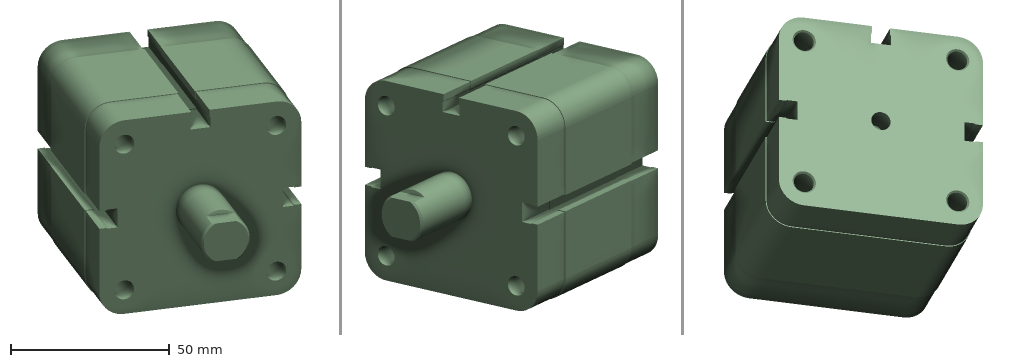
import cadquery as cq
import math

TOTAL_LENGTH = 93.5
BODY_LENGTH = 66.0
REAR_CAP_LENGTH = 15.0
FRONT_CAP_LENGTH = 14.8
TUBE_SIDE = 67.0
CAP_SIDE = 66.5
TUBE_CORNER_RADIUS = 8.4

TUBE_SLOT_MOUTH = 5.4
SLOT_CHAMBER_WIDTH = 6.5
SLOT_LIP = 2.6
SLOT_DEPTH = 6.0
SLOT_ANGLES = (-90, 0, 90)

BOLT_PITCH = 50.0
BOLT_HOLE_DIAMETER = 6.45
BOLT_HOLE_CHAMFER = 0.6
PORT_DIAMETER = 6.3
PORT_DEPTH = 9.35

ROD_DIAMETER = 16.0
ROD_TIP_CHAMFER = 0.7
ACROSS_FLATS = 13.0
FLAT_LENGTH = 6.2
SHOULDER_TILT = 15.0

CAP_INSET = (TUBE_SIDE - CAP_SIDE) / 2

TUBE_START = REAR_CAP_LENGTH
TUBE_END = BODY_LENGTH - FRONT_CAP_LENGTH
TUBE_LENGTH = TUBE_END - TUBE_START


def section_plane(x):
    """Plane across the body axis, with local x = +Y and local y = +Z."""
    return cq.Workplane("YZ", origin=(x, 0, 0))


def slot_cutter(x, length, inset):
    """T-slot cutter in the top face; its mouth widens to the chamber at 45 degrees."""
    face = TUBE_SIDE / 2
    floor = face - SLOT_DEPTH - inset
    lip = face - SLOT_LIP
    chamber = SLOT_CHAMBER_WIDTH / 2
    neck = TUBE_SLOT_MOUTH / 2 + inset
    right_side = [
        (chamber, floor),
        (chamber, lip - (chamber - neck)),
        (neck, lip),
        (neck, face),
    ]
    left_side = [(-y, z) for y, z in reversed(right_side)]
    return section_plane(x).polyline(right_side + left_side).close().extrude(length)


def slotted_block(x, length, inset=0):
    """Rounded square block, set in from the tube outline, with T-slots and through bolt holes."""
    side = TUBE_SIDE - 2 * inset
    corner_radius = TUBE_CORNER_RADIUS - inset
    block = section_plane(x).rect(side, side).extrude(length).edges("|X").fillet(corner_radius)
    cutter = slot_cutter(x, length, inset)
    for angle in SLOT_ANGLES:
        block = block.cut(cutter.rotate((0, 0, 0), (1, 0, 0), angle))
    bolt_holes = (
        section_plane(x)
        .rect(BOLT_PITCH, BOLT_PITCH, forConstruction=True)
        .vertices()
        .circle(BOLT_HOLE_DIAMETER / 2)
        .extrude(length)
    )
    return block.cut(bolt_holes)


def make_rear_cap():
    """End cap with chamfered bolt holes and a blind central port."""
    cap = slotted_block(0, REAR_CAP_LENGTH, CAP_INSET)
    bolt_hole_rims = cap.faces("<X").edges("%CIRCLE").edges(cq.selectors.RadiusNthSelector(0))
    cap = bolt_hole_rims.chamfer(BOLT_HOLE_CHAMFER)
    port = section_plane(0).circle(PORT_DIAMETER / 2).extrude(PORT_DEPTH)
    return cap.cut(port)


def make_tube():
    """Profile tube between the caps."""
    return slotted_block(TUBE_START, TUBE_LENGTH)


def make_front_cap():
    """Plain cap on the rod side."""
    return slotted_block(TUBE_END, FRONT_CAP_LENGTH, CAP_INSET)


def make_rod():
    """Rod standing on the front cap, chamfered at the tip, with two milled wrench flats."""
    rod = (
        section_plane(BODY_LENGTH)
        .circle(ROD_DIAMETER / 2)
        .extrude(TOTAL_LENGTH - BODY_LENGTH)
        .faces(">X")
        .chamfer(ROD_TIP_CHAMFER)
    )
    flat_start = TOTAL_LENGTH - FLAT_LENGTH
    flat_height = ACROSS_FLATS / 2
    rise = ROD_DIAMETER / 2 - flat_height
    shoulder_top = flat_start - rise * math.tan(math.radians(SHOULDER_TILT))
    upper_cut = (
        cq.Workplane("XZ")
        .moveTo(flat_start, flat_height)
        .lineTo(TOTAL_LENGTH, flat_height)
        .lineTo(TOTAL_LENGTH, flat_height + rise)
        .lineTo(shoulder_top, flat_height + rise)
        .close()
        .extrude(ROD_DIAMETER / 2, both=True)
    )
    return rod.cut(upper_cut).cut(upper_cut.mirror("XY"))


rear_cap = make_rear_cap()
tube = make_tube()
front_cap = make_front_cap()
rod = make_rod()

result = cq.Compound.makeCompound([rear_cap.val(), tube.val(), front_cap.val(), rod.val()])